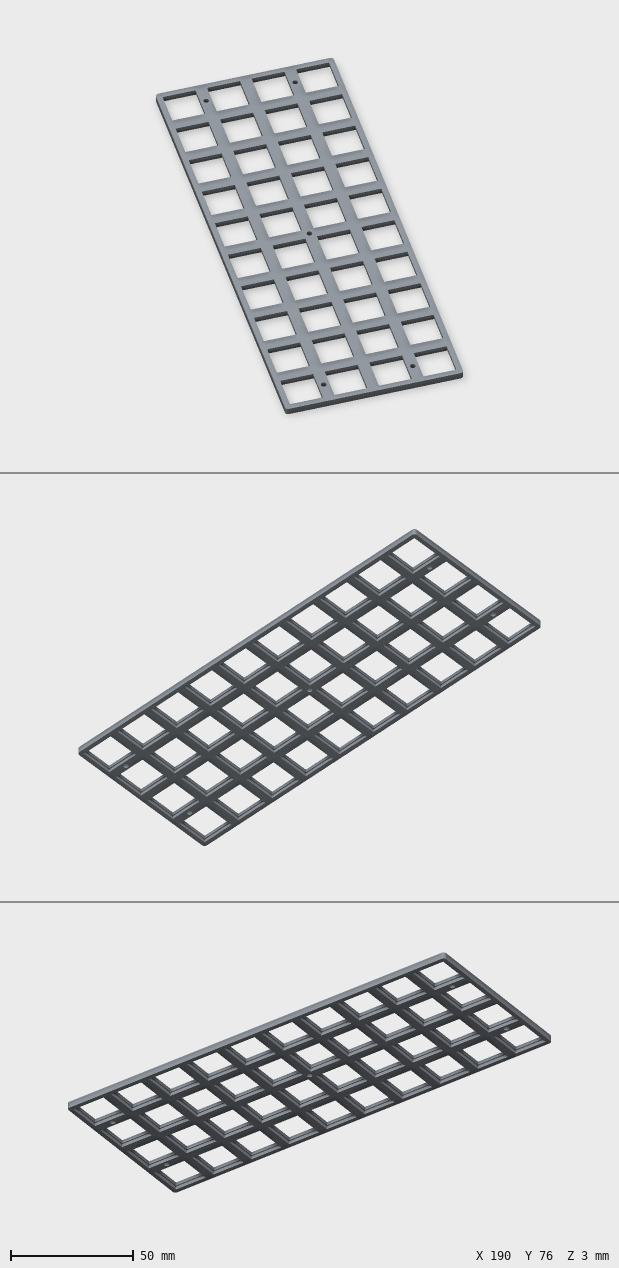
import cadquery as cq

key_pitch = 19.0
columns = 10
rows = 4
plate_length = columns * key_pitch
plate_width = rows * key_pitch
plate_thickness = 3.0
corner_radius = 1.3
opening_side = 14.0
relief_side = 15.0
lip_thickness = 1.5
screw_hole_diameter = 2.3


def make_plate():
    """Flat plate centred on the origin, with rounded vertical corners."""
    plate = cq.Workplane("XY").box(plate_length, plate_width, plate_thickness)
    return plate.edges("|Z").fillet(corner_radius)


def key_grid_blocks(side, height):
    """Square blocks rising from the plate's underside, one centred in each key cell."""
    return (
        cq.Workplane("XY", origin=(0, 0, -plate_thickness / 2))
        .rarray(key_pitch, key_pitch, columns, rows)
        .rect(side, side)
        .extrude(height)
    )


def cut_key_openings(plate):
    """Square through openings, each wider below the lip."""
    openings = key_grid_blocks(opening_side, plate_thickness)
    reliefs = key_grid_blocks(relief_side, plate_thickness - lip_thickness)
    return plate.cut(openings).cut(reliefs)


def drill_screw_holes(plate):
    """A centre hole, plus four holes on the end columns between the outer rows."""
    end_column_x = (columns - 1) / 2 * key_pitch
    row_gap_y = key_pitch
    hole_centres = [(0, 0)]
    for x in (-end_column_x, end_column_x):
        for y in (-row_gap_y, row_gap_y):
            hole_centres.append((x, y))
    return plate.faces(">Z").workplane().pushPoints(hole_centres).hole(screw_hole_diameter)


result = drill_screw_holes(cut_key_openings(make_plate()))